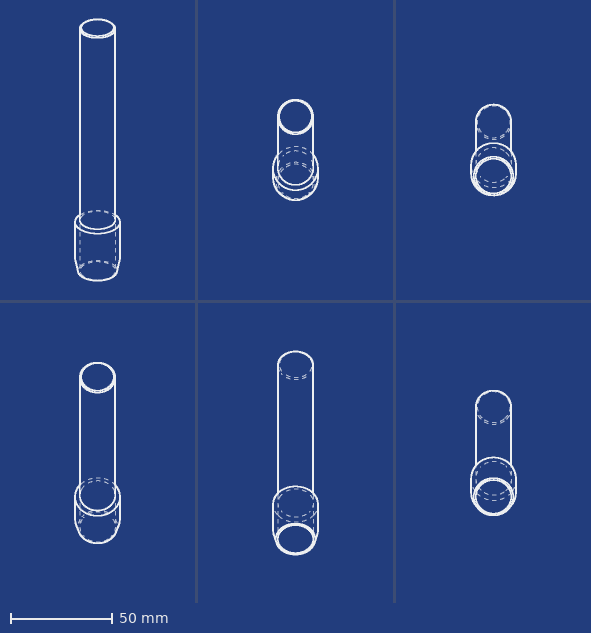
import cadquery as cq

total_length = 140.0
shaft_diameter = 17.5
shaft_chamfer = 0.7

sleeve_diameter = 22.3
sleeve_length = 29.1
shoulder_drop = 1.1
nose_length = 7.0
nose_end_diameter = 19.5

shaft_radius = shaft_diameter / 2
sleeve_radius = sleeve_diameter / 2
nose_end_radius = nose_end_diameter / 2


def make_shaft():
    """Plain round shaft with a chamfered top, running through the sleeve."""
    shaft = cq.Workplane("XY").circle(shaft_radius).extrude(total_length)
    return shaft.faces(">Z").edges().chamfer(shaft_chamfer)


def make_sleeve():
    """Sleeve around the shaft: sloping shoulder on top, tapered nose below."""
    return (
        cq.Workplane("XZ")
        .moveTo(shaft_radius, 0)
        .lineTo(nose_end_radius, 0)
        .lineTo(sleeve_radius, nose_length)
        .lineTo(sleeve_radius, sleeve_length - shoulder_drop)
        .lineTo(shaft_radius, sleeve_length)
        .close()
        .revolve(360, (0, 0), (0, 1))
    )


shaft = make_shaft()
sleeve = make_sleeve()

result = cq.Compound.makeCompound([shaft.val(), sleeve.val()])